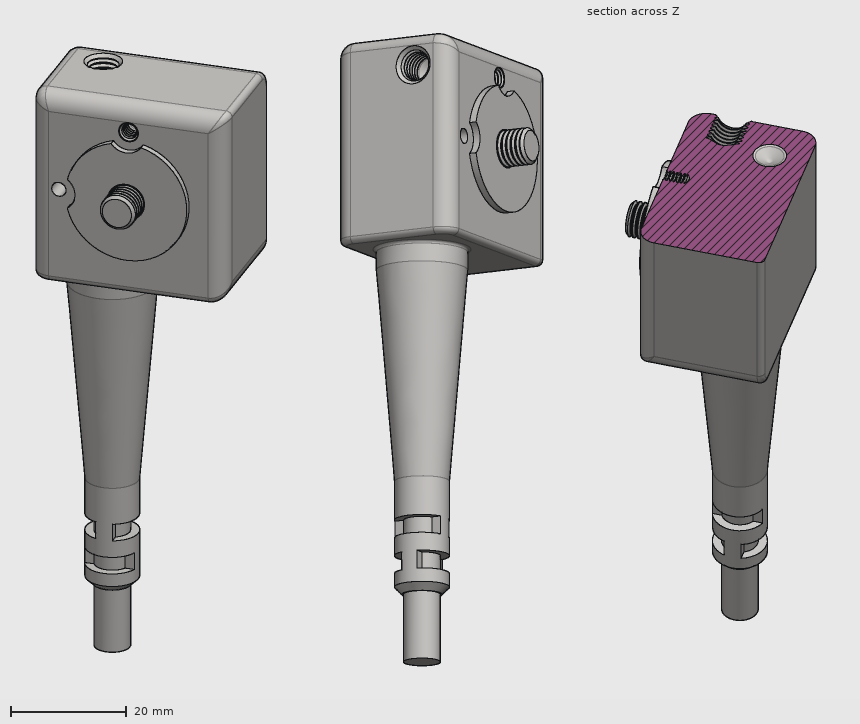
import cadquery as cq
import math

BLOCK_SIDE = 35.6
BLOCK_DEPTH = 22.9
HALF_SIDE = BLOCK_SIDE / 2
FRONT_Y = -BLOCK_DEPTH / 2
LARGE_ROUND = 3.3
TOP_LEFT_ROUND = 2.0
SMALL_ROUND = 1.1

PAD_DIA = 22.1
PAD_HEIGHT = 1.3
PAD_FACE_Y = FRONT_Y - PAD_HEIGHT
NOTCH_DIA = 6.7
SMALL_HOLE_OFFSET = 12.7
SMALL_HOLE_DIA = 2.6
SMALL_HOLE_DEPTH = 4.3
SMALL_THREAD_MAJOR = 3.6
SMALL_THREAD_PITCH = 0.7
DRILL_POINT_ANGLE = 118

THREAD_PITCH = 0.91
FLAT_SHARE = 0.2
THREAD_MAJOR = 6.4
THREAD_MOUTH_DIA = 6.7
TAPPED_HOLE_MINOR = 5.0
TAPPED_HOLE_DEPTH = 6.5
TOP_HOLE_X = -10.0
TOP_HOLE_Y = 4.6
SIDE_HOLE_Y = -4.2
SIDE_HOLE_Z = 12.4

STUD_MINOR = 5.3
STUD_LENGTH = 5.0
STUD_SEAT_DEPTH = 5.0

OVERALL_LENGTH = 108.5
BOOT_X = -6.8
BOOT_Y = 0.1
BOOT_TOP_DIA = 15.8
BOOT_FLARE = 0.5
BOOT_RING_HEIGHT = 3.7
TAPER_LENGTH = 37.3
COLLAR_DIA = 9.5
COLLAR_LENGTH = 18.7
COLLAR_CHAMFER = 1.3
CABLE_DIA = 6.4
SLOT_HEIGHT = 3.1
SLOT_PITCH = 6.3
FIRST_SLOT_DROP = 6.8
SLOT_WEB = 3.0


def pointing_front(shape):
    """Turn a shape that points along +Z so that it points along -Y."""
    return shape.rotate((0, 0, 0), (1, 0, 0), 90)


def pointing_back(shape):
    """Turn a shape that points along +Z so that it points along +Y."""
    return shape.rotate((0, 0, 0), (1, 0, 0), -90)


def pointing_right(shape):
    """Turn a shape that points along +Z so that it points along +X."""
    return shape.rotate((0, 0, 0), (0, 1, 0), 90)


def pointing_down(shape):
    """Turn a shape that points along +Z so that it points along -Z."""
    return shape.rotate((0, 0, 0), (1, 0, 0), 180)


def revolved(profile_points):
    """Spin an (radius, z) outline about the Z axis."""
    return cq.Workplane("XZ").polyline(profile_points).close().revolve(360, (0, 0, 0), (0, 1, 0))


def threaded_rod(major_dia, minor_dia, pitch, length):
    """Rod along +Z with ring-shaped thread ridges; the first crest is at z = 0."""
    major = major_dia / 2
    minor = minor_dia / 2
    points = [(0, 0), (major, 0)]
    for turn in range(int(length / pitch)):
        start = turn * pitch
        points.append((major, start + FLAT_SHARE / 2 * pitch))
        points.append((minor, start + (0.5 - FLAT_SHARE / 2) * pitch))
        points.append((minor, start + (0.5 + FLAT_SHARE / 2) * pitch))
        points.append((major, start + (1 - FLAT_SHARE / 2) * pitch))
    return revolved([*points, (minor, length), (0, length)])


def drill(dia, depth):
    """Drilled hole along +Z: a cylinder with a conical point."""
    point_height = dia / 2 / math.tan(math.radians(DRILL_POINT_ANGLE / 2))
    return revolved([(0, 0), (dia / 2, 0), (dia / 2, depth), (0, depth + point_height)])


def mouth_countersink(mouth_dia, inner_dia):
    """45-degree cone along +Z that opens a hole's mouth."""
    height = (mouth_dia - inner_dia) / 2
    return revolved([(0, 0), (mouth_dia / 2, 0), (inner_dia / 2, height), (0, height)])


def tapped_hole(major_dia, minor_dia, pitch, depth, mouth_dia):
    hole = drill(minor_dia, depth).union(threaded_rod(major_dia, minor_dia, pitch, depth))
    return hole.union(mouth_countersink(mouth_dia, minor_dia))


def rounded_block():
    body = cq.Workplane("XY").box(BLOCK_SIDE, BLOCK_DEPTH, BLOCK_SIDE)
    upright_edges = body.edges("|Z").edges("<X or <Y")
    top_edges = body.edges("|X and >Z")
    lower_right_edge = body.edges("|Y and >X and <Z")
    large_edges = upright_edges.add(top_edges).add(lower_right_edge)
    body = large_edges.fillet(LARGE_ROUND)
    body = body.edges("|Y").edges(">Z").edges(">X").fillet(SMALL_ROUND)
    return body.edges("|Y").edges(">Z").edges("<X").fillet(TOP_LEFT_ROUND)


def mounting_pad():
    pad = cq.Workplane("XY").circle(PAD_DIA / 2).extrude(PAD_HEIGHT)
    notch_centers = [(0, SMALL_HOLE_OFFSET), (-SMALL_HOLE_OFFSET, 0)]
    notches = cq.Workplane("XY").pushPoints(notch_centers).circle(NOTCH_DIA / 2).extrude(PAD_HEIGHT)
    return pointing_front(pad.cut(notches)).translate((0, FRONT_Y, 0))


def front_holes():
    tapped = tapped_hole(
        SMALL_THREAD_MAJOR, SMALL_HOLE_DIA, SMALL_THREAD_PITCH, SMALL_HOLE_DEPTH, SMALL_THREAD_MAJOR
    )
    tapped = pointing_back(tapped).translate((0, FRONT_Y, SMALL_HOLE_OFFSET))
    plain = pointing_back(drill(SMALL_HOLE_DIA, SMALL_HOLE_DEPTH))
    return tapped.union(plain.translate((-SMALL_HOLE_OFFSET, FRONT_Y, 0)))


def mounting_holes():
    hole = tapped_hole(
        THREAD_MAJOR, TAPPED_HOLE_MINOR, THREAD_PITCH, TAPPED_HOLE_DEPTH, THREAD_MOUTH_DIA
    )
    top_hole = pointing_down(hole).translate((TOP_HOLE_X, TOP_HOLE_Y, HALF_SIDE))
    side_hole = pointing_right(hole).translate((-HALF_SIDE, SIDE_HOLE_Y, SIDE_HOLE_Z))
    return top_hole.union(side_hole)


def stud_seat():
    seat = cq.Workplane("XY").circle(THREAD_MAJOR / 2).extrude(STUD_SEAT_DEPTH)
    seat = seat.union(mouth_countersink(THREAD_MOUTH_DIA, THREAD_MAJOR))
    return pointing_back(seat).translate((0, PAD_FACE_Y, 0))


def boot_and_cable():
    """Flared ring, taper, chamfered collar and cable as one turned shape, with z = 0 at the block."""
    top_radius = BOOT_TOP_DIA / 2
    collar_radius = COLLAR_DIA / 2
    taper_top = -BOOT_RING_HEIGHT
    collar_top = taper_top - TAPER_LENGTH
    collar_bottom = collar_top - COLLAR_LENGTH
    cable_end = BLOCK_SIDE - OVERALL_LENGTH
    turned = (
        cq.Workplane("XZ")
        .moveTo(0, SMALL_ROUND)
        .lineTo(top_radius + BOOT_FLARE, SMALL_ROUND)
        .lineTo(top_radius + BOOT_FLARE, 0)
        .radiusArc((top_radius, -BOOT_FLARE), -BOOT_FLARE)
        .lineTo(top_radius, taper_top)
        .lineTo(collar_radius, collar_top)
        .lineTo(collar_radius, collar_bottom)
        .lineTo(collar_radius - COLLAR_CHAMFER, collar_bottom - COLLAR_CHAMFER)
        .lineTo(CABLE_DIA / 2, collar_bottom - COLLAR_CHAMFER)
        .lineTo(CABLE_DIA / 2, cable_end)
        .lineTo(0, cable_end)
        .close()
        .revolve(360, (0, 0, 0), (0, 1, 0))
    )
    slots = flex_slots().translate((0, 0, collar_top - FIRST_SLOT_DROP))
    return turned.cut(slots).translate((BOOT_X, BOOT_Y, -HALF_SIDE))


def flex_slots():
    """Two levels of slots down to the cable; the webs of one level are square to the other's."""
    ring = cq.Workplane("XY").circle(COLLAR_DIA).circle(CABLE_DIA / 2).extrude(-SLOT_HEIGHT)
    web = cq.Workplane("XY").rect(SLOT_WEB, 2 * COLLAR_DIA).extrude(-SLOT_HEIGHT)
    upper = ring.cut(web)
    lower = upper.rotate((0, 0, 0), (0, 0, 1), 90).translate((0, 0, -SLOT_PITCH))
    return cq.Workplane("XY").newObject([cq.Compound.makeCompound(upper.vals() + lower.vals())])


def make_housing():
    body = rounded_block().union(mounting_pad()).union(boot_and_cable())
    return body.cut(front_holes()).cut(mounting_holes()).cut(stud_seat())


def make_stud():
    shank = cq.Workplane("XY").circle(THREAD_MAJOR / 2).extrude(-STUD_SEAT_DEPTH)
    thread = threaded_rod(THREAD_MAJOR, STUD_MINOR, THREAD_PITCH, STUD_LENGTH)
    return pointing_front(shank.union(thread)).translate((0, PAD_FACE_Y, 0))


housing = make_housing()
stud = make_stud()
result = cq.Compound.makeCompound([housing.solids().val(), stud.solids().val()])